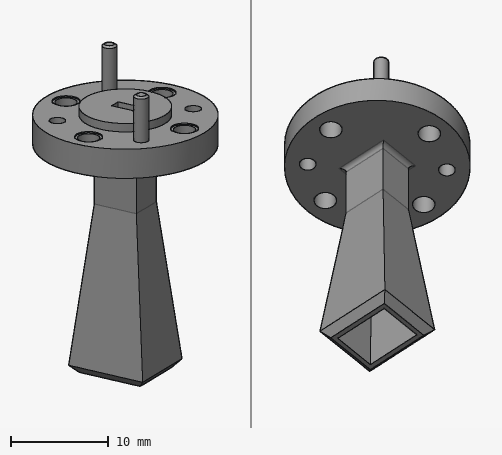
import cadquery as cq
import math

flange_diameter = 19.05
boss_diameter = flange_diameter / 2
total_height = 33.25
boss_top = 29.15
flange_top = 28.23
flange_bottom = 25.0

pitch_radius = 7.15
bolt_hole_diameter = 2.3
bolt_recess_diameter = 2.85
bolt_recess_depth = 0.13
pin_hole_diameter = 1.7
pin_diameter = 1.55
pin_chamfer_height = 0.2
pin_chamfer_width = 0.25

neck_x = 5.1
neck_y = 3.92
neck_fillet = 0.5
flare_top = 18.5
mouth_x = 8.95
mouth_y = 7.68
mouth_bevel_width = 0.8
mouth_bevel_height = 0.9

bore_x = 2.53
bore_y = 1.25
mouth_bore_x = mouth_x - (neck_x - bore_x)
mouth_bore_y = mouth_y - (neck_y - bore_y)


def block(size_x, size_y, bottom, top):
    """Centred rectangular prism between two heights."""
    return cq.Workplane("XY", origin=(0, 0, bottom)).rect(size_x, size_y).extrude(top - bottom)


def frustum(bottom_x, bottom_y, bottom, top_x, top_y, top):
    """Centred rectangular frustum between two heights."""
    return (
        cq.Workplane("XY", origin=(0, 0, bottom))
        .rect(bottom_x, bottom_y)
        .workplane(offset=top - bottom)
        .rect(top_x, top_y)
        .loft(ruled=True, combine=True)
    )


def disc(diameter, bottom, top):
    """Centred cylinder between two heights."""
    return cq.Workplane("XY", origin=(0, 0, bottom)).circle(diameter / 2).extrude(top - bottom)


def on_pitch_circle(angle):
    """Position on the pitch circle at an angle in degrees."""
    turn = math.radians(angle)
    return (pitch_radius * math.cos(turn), pitch_radius * math.sin(turn), 0)


body = disc(flange_diameter, flange_bottom, flange_top)
body = body.union(block(neck_x, neck_y, flare_top, flange_bottom))
neck_joint = cq.selectors.BoxSelector(
    (-neck_x, -neck_y, flange_bottom - neck_fillet / 2),
    (neck_x, neck_y, flange_bottom + neck_fillet / 2),
)
body = body.edges(neck_joint).edges("|X or |Y").fillet(neck_fillet)
body = body.union(disc(boss_diameter, flange_top, boss_top))

body = body.union(frustum(mouth_x, mouth_y, mouth_bevel_height, neck_x, neck_y, flare_top))
tip_x = mouth_x - 2 * mouth_bevel_width
tip_y = mouth_y - 2 * mouth_bevel_width
body = body.union(frustum(tip_x, tip_y, 0, mouth_x, mouth_y, mouth_bevel_height))

body = body.cut(block(bore_x, bore_y, flare_top, boss_top))
body = body.cut(frustum(mouth_bore_x, mouth_bore_y, 0, bore_x, bore_y, flare_top))

for angle in (0, 90, 180, 270):
    place = on_pitch_circle(angle)
    body = body.cut(disc(bolt_hole_diameter, flange_bottom, flange_top).translate(place))
    recess = disc(bolt_recess_diameter, flange_top - bolt_recess_depth, flange_top)
    body = body.cut(recess.translate(place))

for angle in (45, 225):
    hole = disc(pin_hole_diameter, flange_bottom, flange_top)
    body = body.cut(hole.translate(on_pitch_circle(angle)))

pin = disc(pin_diameter, flange_bottom, total_height)
pin = pin.faces(">Z").chamfer(pin_chamfer_height, pin_chamfer_width)
for angle in (135, 315):
    body = body.union(pin.translate(on_pitch_circle(angle)))

result = body